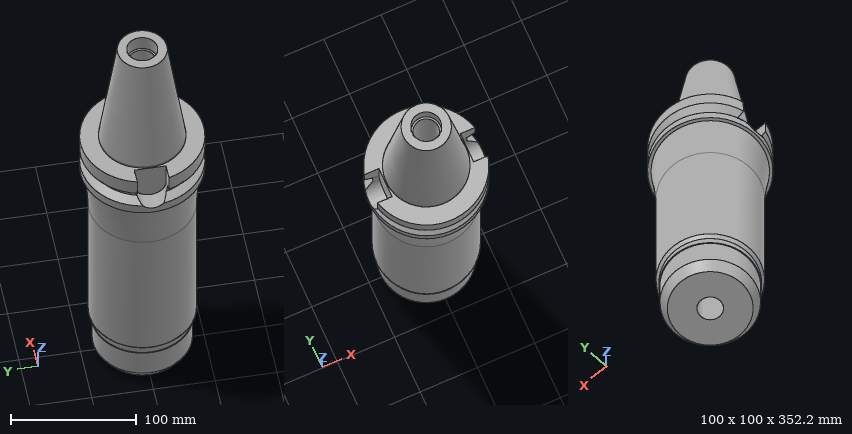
import cadquery as cq

total_height = 352.2
gauge_line_z = 250.5
flange_top_z = 249.0
upper_rim_bottom_z = 235.3
groove_top_z = 230.7
groove_bottom_z = 225.0
lower_rim_top_z = 220.5
flange_bottom_z = 212.5
body_top_z = 169.5
flare_middle_z = (flange_bottom_z + body_top_z) / 2
body_bottom_z = 43.3
collar_top_z = 40.0
collar_bottom_z = 33.8
nose_chamfer_z = 9.0

flange_radius = 50.0
groove_radius = 43.0
taper_radius = 35.0
flare_radius = 47.2
flare_middle_radius = 44.7
body_radius = 43.3
collar_radius = 41.0
nose_radius = 40.0
nose_tip_radius = 34.0
bore_radius = 10.5
counterbore_radius = 12.5
counterbore_depth = 13.0

taper_ratio = 7 / 24
shank_tip_radius = taper_radius - (total_height - gauge_line_z) * taper_ratio / 2

slot_width = 25.7
slot_bottom_z = 217.3
slot_inner_x = 35.5


def make_holder():
    """Revolve the nose, body, flange and taper shank about Z."""
    return (
        cq.Workplane("XZ")
        .lineTo(nose_tip_radius, 0)
        .lineTo(nose_radius, nose_chamfer_z)
        .lineTo(nose_radius, collar_bottom_z)
        .lineTo(collar_radius, collar_bottom_z)
        .lineTo(collar_radius, collar_top_z)
        .lineTo(body_radius, body_bottom_z)
        .lineTo(body_radius, body_top_z)
        .threePointArc((flare_middle_radius, flare_middle_z), (flare_radius, flange_bottom_z))
        .lineTo(flange_radius, flange_bottom_z)
        .lineTo(flange_radius, lower_rim_top_z)
        .lineTo(groove_radius, groove_bottom_z)
        .lineTo(groove_radius, groove_top_z)
        .lineTo(flange_radius, upper_rim_bottom_z)
        .lineTo(flange_radius, flange_top_z)
        .lineTo(taper_radius, flange_top_z)
        .lineTo(taper_radius, gauge_line_z)
        .lineTo(shank_tip_radius, total_height)
        .lineTo(0, total_height)
        .close()
        .revolve(360, (0, 0, 0), (0, 1, 0))
    )


def make_slot_cutter(side):
    """Round-bottomed drive slot on the +X (side=1) or -X (side=-1) edge of the flange."""
    half_width = slot_width / 2
    round_center_z = slot_bottom_z + half_width
    return (
        cq.Workplane("YZ", origin=(side * slot_inner_x, 0, 0))
        .moveTo(-half_width, gauge_line_z)
        .lineTo(-half_width, round_center_z)
        .threePointArc((0, slot_bottom_z), (half_width, round_center_z))
        .lineTo(half_width, gauge_line_z)
        .close()
        .extrude(side * flange_radius)
    )


result = make_holder()
for side in (-1, 1):
    result = result.cut(make_slot_cutter(side))

result = result.faces(">Z").workplane().cboreHole(
    2 * bore_radius, 2 * counterbore_radius, counterbore_depth
)